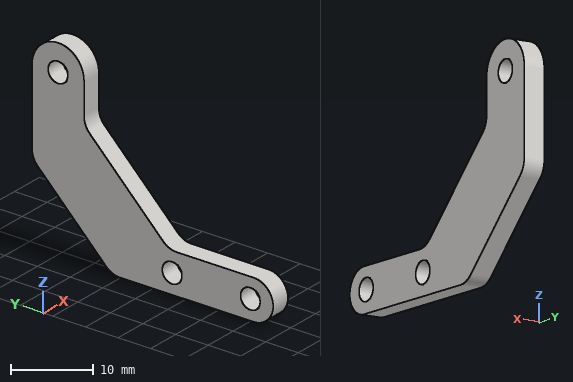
import cadquery as cq

thickness = 3.0

upper_end_radius = 4.0
upper_arm_width = 2 * upper_end_radius

lower_end_radius = 3.0
lower_arm_height = 2 * lower_end_radius

end_center_run = 30.0
end_center_drop = 22.0

outer_slope_intercept = 12.25
inner_slope_intercept = 27.0
bend_radius = 3.0

hole_diameter = 3.0
upper_to_middle_hole = 17.5
middle_to_end_hole = 12.0

back_y = upper_end_radius
inner_arm_y = back_y - upper_arm_width
lower_end_y = -end_center_run
lower_center_z = lower_end_radius
upper_center_z = lower_center_z + end_center_drop
middle_hole_y = -upper_to_middle_hole
end_hole_y = middle_hole_y - middle_to_end_hole


def bracket_plate():
    """Extruded bracket outline with rounded ends and radiused bends."""
    plate = (
        cq.Workplane("YZ")
        .moveTo(back_y, upper_center_z)
        .threePointArc(
            (0, upper_center_z + upper_end_radius),
            (inner_arm_y, upper_center_z),
        )
        .lineTo(inner_arm_y, inner_slope_intercept - upper_arm_width)
        .lineTo(back_y - (inner_slope_intercept - lower_arm_height), lower_arm_height)
        .lineTo(lower_end_y, lower_arm_height)
        .threePointArc(
            (lower_end_y - lower_end_radius, lower_center_z),
            (lower_end_y, 0),
        )
        .lineTo(back_y - outer_slope_intercept, 0)
        .lineTo(back_y, outer_slope_intercept)
        .close()
        .extrude(thickness / 2, both=True)
    )
    plate = plate.edges("|X").filter(is_bend_edge).fillet(bend_radius)
    return plate


def is_bend_edge(edge):
    """True for the four bend corners, false where an end arc meets a straight side."""
    center = edge.Center()
    on_upper_end = center.z > upper_center_z - upper_end_radius / 2
    on_lower_end = center.y < lower_end_y + lower_end_radius / 2
    return not (on_upper_end or on_lower_end)


def hole_cutters():
    """Cylinders for the three holes."""
    hole_centers = [
        (0, upper_center_z),
        (middle_hole_y, lower_center_z),
        (end_hole_y, lower_center_z),
    ]
    return (
        cq.Workplane("YZ")
        .pushPoints(hole_centers)
        .circle(hole_diameter / 2)
        .extrude(thickness, both=True)
    )


result = bracket_plate().cut(hole_cutters())